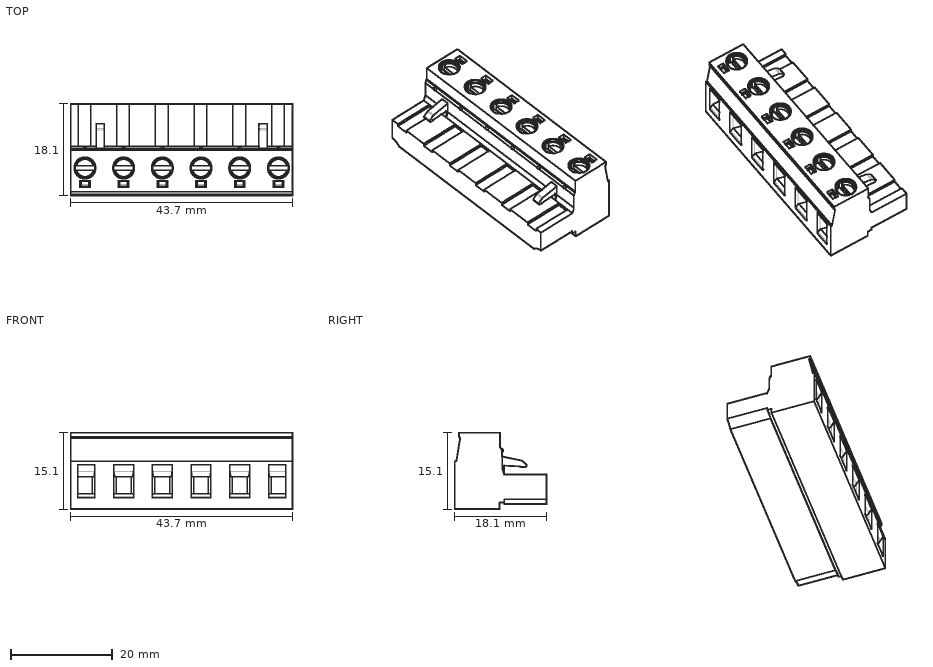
import cadquery as cq
import math

LENGTH = 43.7
DEPTH = 18.1
HEIGHT = 15.05
POLE_COUNT = 6
PITCH = 7.62
FIRST_POLE_X = (LENGTH - (POLE_COUNT - 1) * PITCH) / 2
POLES_X = [FIRST_POLE_X + i * PITCH for i in range(POLE_COUNT)]

LEDGE_Z = 9.45
LEDGE_WIDTH = 0.3
LIP_Y = 0.8
LIP_BOTTOM_Z = 14.25
LIP_UNDERCUT = 0.25
BACK_TOP_Y = 8.95
BACK_SHOULDER_Y = 9.1
BACK_SHOULDER_Z = 12.0
BACK_Y = 9.33
BACK_STEP_TOP_Z = 12.1
BACK_STEP_BOTTOM_Z = 11.3
FOOT_Y = 8.85
FOOT_Z = 1.3

TONGUE_Y = 9.75
TONGUE_TOP_Z = 6.82
TONGUE_BOTTOM_Z = 1.0
ROOT_SLOPE_TOP_Z = 8.0
COVE_RADIUS = 2.6
COVE_TOP_Z = 1.93
GROOVE_WIDTH = 2.5
GROOVE_DEPTH = 0.55
GROOVE_SHIFT = -0.1

LATCH_WIDTH = 1.65
LATCH_INSET = 5.0
LATCH_TIP_Y = 14.2
LATCH_TIP_BOTTOM_Z = 8.55
LATCH_TIP_TOP_Z = 8.7
LATCH_ROOT_TOP_Z = 10.38
LATCH_ROOT_BOTTOM_Z = 8.54
LATCH_BEND_Y = 13.05
LATCH_BEND_Z = 9.62
LATCH_SHOULDER_Y = 13.3
LATCH_SHOULDER_Z = 9.5
LATCH_BARB_Z = 8.25
LATCH_BARB_END_Y = 13.95
LATCH_BARB_START_Y = 13.2
LATCH_ARM_END_Y = 12.85
LATCH_ARM_END_Z = 8.38

BUMP_RADIUS = 0.35
BUMP_Y = 9.2
BUMP_Z = 11.55

WINDOW_HALF_WIDTH = 1.95
THROAT_HALF_WIDTH = 1.45
WINDOW_BOTTOM_Z = 2.22
SILL_KINK_Y = 0.22
SILL_KINK_Z = 2.5
SILL_END_Y = 0.79
THROAT_BOTTOM_Z = 3.04
WINDOW_TOP_Z = 8.71
FUNNEL_START_Y = 0.62
FUNNEL_START_Z = 7.5
THROAT_TOP_Y = 1.23
THROAT_TOP_Z = 6.33
WINDOW_DEPTH = 2.25

SCREW_Y = 5.49
WELL_RADIUS = 1.95
WELL_CHAMFER = 0.17
WELL_DEPTH = 0.65
HEAD_RADIUS = 1.72
HEAD_DEPTH = 1.5
SLOT_WIDTH = 0.8
SLOT_DEPTH = 2.4

PROBE_WIDTH = 2.06
PROBE_FRONT_Y = 1.72
PROBE_BACK_Y = 2.98
PROBE_DEPTH = 0.9
PROBE_INNER_WIDTH = 1.46
PROBE_INNER_MARGIN = 0.13
PROBE_INNER_DEPTH = 1.05
PROBE_ROUND_RADIUS = 0.4


def extrude_along_x(sketch_points, x_start, width):
    """Prism with a closed (y, z) section, running in +X from x_start."""
    section = cq.Workplane("YZ").workplane(offset=x_start).polyline(sketch_points).close()
    return section.extrude(width)


def make_block(x_range, y_range, z_range):
    """Axis-aligned block between the given limits."""
    size = [high - low for low, high in (x_range, y_range, z_range)]
    corner = (x_range[0], y_range[0], z_range[0])
    return cq.Workplane("XY").box(*size, centered=False).translate(corner)


def make_housing():
    section = [
        (0, 0),
        (FOOT_Y, 0),
        (FOOT_Y, FOOT_Z),
        (TONGUE_Y, FOOT_Z),
        (TONGUE_Y, TONGUE_TOP_Z),
        (BACK_Y, ROOT_SLOPE_TOP_Z),
        (BACK_Y, BACK_STEP_BOTTOM_Z),
        (BACK_SHOULDER_Y, BACK_SHOULDER_Z),
        (BACK_TOP_Y, BACK_STEP_TOP_Z),
        (BACK_TOP_Y, HEIGHT),
        (LIP_Y, HEIGHT),
        (LIP_Y, LIP_BOTTOM_Z),
        (LIP_Y + LIP_UNDERCUT, LIP_BOTTOM_Z - LIP_UNDERCUT),
        (LEDGE_WIDTH, LEDGE_Z),
        (0, LEDGE_Z),
    ]
    return extrude_along_x(section, 0, LENGTH)


def make_tongue():
    """Plug tongue with a concave cove along both lower edges and a groove above each pole."""
    tongue = make_block((0, LENGTH), (TONGUE_Y, DEPTH), (TONGUE_BOTTOM_Z, TONGUE_TOP_Z))
    for edge_x in (0, LENGTH):
        cove = cq.Workplane("XZ", origin=(edge_x, DEPTH, COVE_TOP_Z - COVE_RADIUS)).circle(COVE_RADIUS)
        tongue = tongue.cut(cove.extrude(DEPTH - TONGUE_Y))
    for pole_x in POLES_X:
        left = pole_x + GROOVE_SHIFT - GROOVE_WIDTH / 2
        groove = make_block(
            (left, left + GROOVE_WIDTH),
            (TONGUE_Y, DEPTH),
            (TONGUE_TOP_Z - GROOVE_DEPTH, TONGUE_TOP_Z),
        )
        tongue = tongue.cut(groove)
    return tongue


def make_latch(x_start):
    """Lever with a hooked tip, standing on a short column at the back of the housing."""
    column_foot_z = TONGUE_TOP_Z - GROOVE_DEPTH
    section = [
        (BACK_TOP_Y, column_foot_z),
        (TONGUE_Y, column_foot_z),
        (TONGUE_Y, LATCH_ROOT_BOTTOM_Z),
        (LATCH_ARM_END_Y, LATCH_ARM_END_Z),
        (LATCH_BARB_START_Y, LATCH_BARB_Z),
        (LATCH_BARB_END_Y, LATCH_BARB_Z),
        (LATCH_TIP_Y, LATCH_TIP_BOTTOM_Z),
        (LATCH_TIP_Y, LATCH_TIP_TOP_Z),
        (LATCH_SHOULDER_Y, LATCH_SHOULDER_Z),
        (LATCH_BEND_Y, LATCH_BEND_Z),
        (BACK_Y, LATCH_ROOT_TOP_Z),
        (BACK_TOP_Y, LATCH_ROOT_TOP_Z),
    ]
    return extrude_along_x(section, x_start, LATCH_WIDTH)


def make_window(pole_x, left_half, right_half):
    """Wire entry: sloped sill and ceiling, with side walls that narrow to the throat."""
    section = [
        (0, WINDOW_BOTTOM_Z),
        (SILL_KINK_Y, SILL_KINK_Z),
        (SILL_END_Y, THROAT_BOTTOM_Z),
        (WINDOW_DEPTH, THROAT_BOTTOM_Z),
        (WINDOW_DEPTH, THROAT_TOP_Z),
        (THROAT_TOP_Y, THROAT_TOP_Z),
        (FUNNEL_START_Y, FUNNEL_START_Z),
        (0, WINDOW_TOP_Z),
    ]
    side_cut = extrude_along_x(section, pole_x - left_half, left_half + right_half)
    plan = [
        (pole_x - left_half, 0),
        (pole_x + right_half, 0),
        (pole_x + right_half, FUNNEL_START_Y),
        (pole_x + THROAT_HALF_WIDTH, WINDOW_DEPTH),
        (pole_x - THROAT_HALF_WIDTH, WINDOW_DEPTH),
        (pole_x - left_half, FUNNEL_START_Y),
    ]
    return side_cut.intersect(cq.Workplane("XY").polyline(plan).close().extrude(HEIGHT))


def make_screw_well(pole_x):
    """Revolved well down to the screw head, with the driver slot across it."""
    half_profile = [
        (0, 0),
        (WELL_RADIUS + WELL_CHAMFER, 0),
        (WELL_RADIUS, -WELL_CHAMFER),
        (WELL_RADIUS, -WELL_DEPTH),
        (HEAD_RADIUS, -WELL_DEPTH),
        (HEAD_RADIUS, -HEAD_DEPTH),
        (0, -HEAD_DEPTH),
    ]
    origin = (pole_x, SCREW_Y, HEIGHT)
    well = cq.Workplane("XZ", origin=origin).polyline(half_profile).close().revolve(360, (0, 0), (0, 1))
    slot_end = math.sqrt(WELL_RADIUS**2 - (SLOT_WIDTH / 2) ** 2)
    slot = make_block(
        (pole_x - slot_end, pole_x + slot_end),
        (SCREW_Y - SLOT_WIDTH / 2, SCREW_Y + SLOT_WIDTH / 2),
        (HEIGHT - SLOT_DEPTH, HEIGHT - WELL_DEPTH),
    )
    return well.union(slot)


def make_probe_pocket(pole_x):
    """Rectangular pocket with a narrower recess, rounded off along its front, in its floor."""
    floor_z = HEIGHT - PROBE_DEPTH
    opening = make_block(
        (pole_x - PROBE_WIDTH / 2, pole_x + PROBE_WIDTH / 2),
        (PROBE_FRONT_Y, PROBE_BACK_Y),
        (floor_z, HEIGHT),
    )
    recess_front_y = PROBE_FRONT_Y + PROBE_INNER_MARGIN
    recess_back_y = PROBE_BACK_Y - PROBE_INNER_MARGIN
    recess_z = HEIGHT - PROBE_INNER_DEPTH
    round_middle = PROBE_ROUND_RADIUS * math.sqrt(0.5)
    round_center_z = recess_z - PROBE_ROUND_RADIUS
    round_center_y = recess_front_y + PROBE_ROUND_RADIUS
    recess = (
        cq.Workplane("YZ", origin=(pole_x - PROBE_INNER_WIDTH / 2, 0, 0))
        .moveTo(recess_front_y, floor_z)
        .lineTo(recess_front_y, round_center_z)
        .threePointArc(
            (round_center_y - round_middle, round_center_z + round_middle),
            (round_center_y, recess_z),
        )
        .lineTo(recess_back_y, recess_z)
        .lineTo(recess_back_y, floor_z)
        .close()
        .extrude(PROBE_INNER_WIDTH)
    )
    return opening.union(recess)


result = make_housing().union(make_tongue())

for latch_x in (LATCH_INSET, LENGTH - LATCH_INSET - LATCH_WIDTH):
    result = result.union(make_latch(latch_x))

for x in POLES_X:
    bump = cq.Workplane("XY").sphere(BUMP_RADIUS).translate((x, BUMP_Y, BUMP_Z))
    result = result.union(bump)

for x in POLES_X:
    left_side = THROAT_HALF_WIDTH if x == POLES_X[0] else WINDOW_HALF_WIDTH
    right_side = THROAT_HALF_WIDTH if x == POLES_X[-1] else WINDOW_HALF_WIDTH
    result = result.cut(make_window(x, left_side, right_side))
    result = result.cut(make_screw_well(x))
    result = result.cut(make_probe_pocket(x))